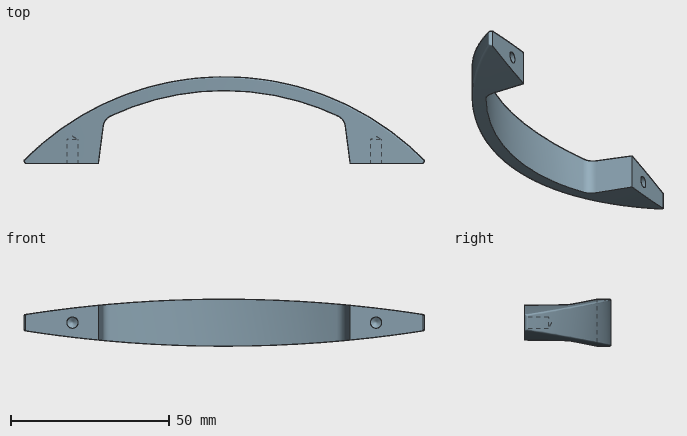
import cadquery as cq
import math

length = 126.6
projection = 27.5
mid_width = 15.0
end_width = 5.1

grip_thickness = 4.4
edge_radius = 0.6

tip_height = 0.9
tip_setback = 0.6
tip_radius = 0.32
tip_overhang = 0.095

foot_inner_x = 39.8
foot_draft = 7.4
inner_corner_radius = 4.0

hole_spacing = 96.0
hole_diameter = 3.5
hole_depth = 7.6
drill_point_angle = 118.0

tip_x = length / 2 + tip_overhang


def arc_radius(half_chord, rise):
    """Radius of the arc that rises by `rise` at the middle of its chord."""
    return (half_chord**2 + rise**2) / (2 * rise)


def make_bow():
    """Arched plate with its feet, as a straight extrusion along Z."""
    return (
        cq.Workplane("XY")
        .moveTo(-tip_x + tip_setback, 0)
        .lineTo(-tip_x, tip_height)
        .threePointArc((0, projection), (tip_x, tip_height))
        .lineTo(tip_x - tip_setback, 0)
        .close()
        .extrude(mid_width / 2, both=True)
    )


def make_finger_opening():
    """Space between the feet, under the concentric inner arc."""
    outer_radius = arc_radius(tip_x, projection - tip_height)
    inner_radius = outer_radius - grip_thickness
    center_y = projection - outer_radius

    slope = math.tan(math.radians(foot_draft))
    a = 1 + slope**2
    b = -2 * (slope * foot_inner_x + center_y)
    c = foot_inner_x**2 + center_y**2 - inner_radius**2
    corner_y = (-b + math.sqrt(b**2 - 4 * a * c)) / (2 * a)
    corner_x = foot_inner_x - slope * corner_y

    opening = (
        cq.Workplane("XY")
        .moveTo(-foot_inner_x, 0)
        .lineTo(-corner_x, corner_y)
        .threePointArc((0, projection - grip_thickness), (corner_x, corner_y))
        .lineTo(foot_inner_x, 0)
        .close()
        .extrude(mid_width, both=True)
    )
    corners = cq.selectors.BoxSelector(
        (-foot_inner_x, corner_y / 2, -mid_width),
        (foot_inner_x, projection, mid_width),
    )
    return opening.edges("|Z").edges(corners).fillet(inner_corner_radius)


def make_width_envelope():
    """Lens-shaped outline in XZ that narrows the handle toward its tips."""
    return (
        cq.Workplane("XZ")
        .moveTo(-tip_x, -end_width / 2)
        .lineTo(-tip_x, end_width / 2)
        .threePointArc((0, mid_width / 2), (tip_x, end_width / 2))
        .lineTo(tip_x, -end_width / 2)
        .threePointArc((0, -mid_width / 2), (-tip_x, -end_width / 2))
        .close()
        .extrude(-projection)
    )


def make_screw_hole(x):
    """Blind drilled hole entering the mounting face of a foot along +Y."""
    radius = hole_diameter / 2
    point_depth = radius / math.tan(math.radians(drill_point_angle / 2))
    return (
        cq.Workplane("XY")
        .lineTo(radius, 0)
        .lineTo(radius, hole_depth)
        .lineTo(0, hole_depth + point_depth)
        .close()
        .revolve(360, (0, 0), (0, 1))
        .translate((x, 0, 0))
    )


handle = make_bow().intersect(make_width_envelope())

outer_face = cq.selectors.NearestToPointSelector((0, projection, 0))
handle = handle.faces(outer_face).edges("not |Z").fillet(edge_radius)
handle = handle.faces(outer_face).edges("|Z").fillet(tip_radius)

handle = handle.cut(make_finger_opening())
for side in (-1, 1):
    handle = handle.cut(make_screw_hole(side * hole_spacing / 2))

result = handle